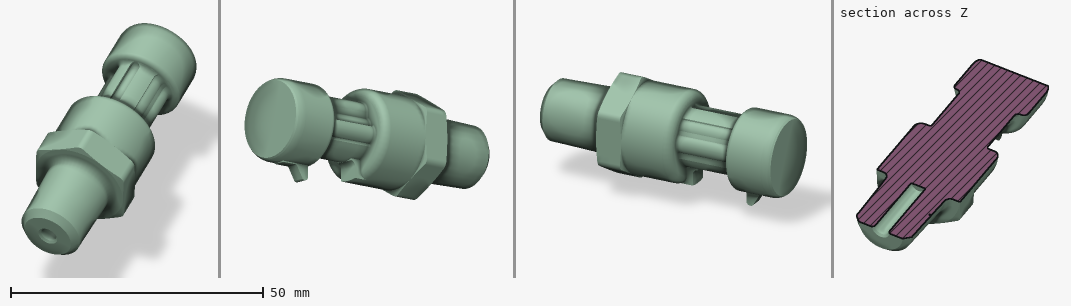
import cadquery as cq
import math

LENGTH = 53.15

TIP_RADIUS = 5.05
TIP_CHAMFER = 1.35
SHANK_TIP_RADIUS = TIP_RADIUS + TIP_CHAMFER
SHANK_ROOT_RADIUS = 6.75
ROOT_FILLET = 1.3
BORE_RADIUS = 1.65
BORE_CHAMFER = 0.4

HEX_START = 14.95
HEX_END = 20.55
HEX_ACROSS_FLATS = 19.1
HEX_CORNER_RADIUS = 1.55
HEX_FACE_RADIUS = 9.45
HEX_CHAMFER_HEIGHT = 0.3
HEX_CHAMFER_RUN = 1.35

BODY_RADIUS = HEX_ACROSS_FLATS / 2
BODY_END = 31.35
BODY_ROUNDING = 1.65

CAP_START = 43.1
CAP_RADIUS = 8.45
CAP_ROUNDING = 1.0
CAP_TAPER_START = 51.2
CAP_TAPER_END = 52.75
CAP_TAPER_RADIUS = 8.1
CAP_TAPER_BULGE = 0.1
CAP_END_RADIUS = 7.8

NECK_CORE_RADIUS = 5.85
NECK_RIB_RADIUS = 6.6
RIDGE_CENTER = (-3.05, 0.65)
RIDGE_RADIUS = 2.25
NECK_CAP_FILLET = 0.8
NECK_BODY_FILLET = 0.35

TOOTH_WIDTH = 2.55
TOOTH_FRONT = 44.3
TOOTH_BACK = 47.35
TOOTH_TIP_BACK = 45.75
TOOTH_BOTTOM = -11.5
TOOTH_TIP_HEIGHT = 0.65
TOOTH_TIP_BACK_HEIGHT = 0.2
TOOTH_PAD_DEPTH = 8.6
TOOTH_PAD_END = 50.9

KEY_WIDTH = 4.25
KEY_END = 32.75
KEY_FILLET = 1.05


def along_y(start, end, outline):
    """Extrude an outline drawn in X and Z from Y = start to Y = end."""
    return outline(cq.Workplane("XZ", origin=(0, start, 0))).extrude(start - end)


def on_circle(center, radius, degrees):
    """Point on a circle in the X-Z cross-section."""
    angle = math.radians(degrees)
    return (center[0] + radius * math.cos(angle), center[1] + radius * math.sin(angle))


def height_on_circle(radius, x):
    """Positive Z of a circle about the axis at the given X."""
    return math.sqrt(radius**2 - x**2)


def revolve(profile):
    """Turn a closed profile of (radius, Y) around the Y axis."""
    return profile.close().revolve(360, (0, 0, 0), (0, 1, 0))


def shank():
    profile = (
        cq.Workplane("XY")
        .lineTo(TIP_RADIUS, 0)
        .lineTo(SHANK_TIP_RADIUS, TIP_CHAMFER)
        .lineTo(SHANK_ROOT_RADIUS, HEX_START - ROOT_FILLET)
        .radiusArc((SHANK_ROOT_RADIUS + ROOT_FILLET, HEX_START), ROOT_FILLET)
        .lineTo(0, HEX_START)
    )
    return revolve(profile)


def bore():
    profile = (
        cq.Workplane("XY")
        .lineTo(BORE_RADIUS + BORE_CHAMFER, 0)
        .lineTo(BORE_RADIUS, BORE_CHAMFER)
        .lineTo(BORE_RADIUS, HEX_START)
        .lineTo(0, HEX_START)
    )
    return revolve(profile)


def nut():
    across_corners = HEX_ACROSS_FLATS / math.cos(math.pi / 6)
    hexagon = along_y(HEX_START, HEX_END, lambda plane: plane.polygon(6, across_corners))
    hexagon = hexagon.rotate((0, 0, 0), (0, 1, 0), 90)
    hexagon = hexagon.edges("|Y").fillet(HEX_CORNER_RADIUS)
    rim_radius = HEX_FACE_RADIUS + HEX_CHAMFER_RUN
    chamfered_disc = (
        cq.Workplane("XY")
        .moveTo(0, HEX_START)
        .lineTo(HEX_FACE_RADIUS, HEX_START)
        .lineTo(rim_radius, HEX_START + HEX_CHAMFER_HEIGHT)
        .lineTo(rim_radius, HEX_END - HEX_CHAMFER_HEIGHT)
        .lineTo(HEX_FACE_RADIUS, HEX_END)
        .lineTo(0, HEX_END)
    )
    return hexagon.intersect(revolve(chamfered_disc))


def body():
    cylinder = along_y(HEX_END, BODY_END, lambda plane: plane.circle(BODY_RADIUS))
    return cylinder.faces(">Y").edges().fillet(BODY_ROUNDING)


def cap():
    taper_middle = (
        (CAP_RADIUS + CAP_TAPER_RADIUS) / 2 + CAP_TAPER_BULGE,
        (CAP_TAPER_START + CAP_TAPER_END) / 2,
    )
    profile = (
        cq.Workplane("XY")
        .moveTo(0, CAP_START)
        .lineTo(CAP_RADIUS - CAP_ROUNDING, CAP_START)
        .radiusArc((CAP_RADIUS, CAP_START + CAP_ROUNDING), -CAP_ROUNDING)
        .lineTo(CAP_RADIUS, CAP_TAPER_START)
        .threePointArc(taper_middle, (CAP_TAPER_RADIUS, CAP_TAPER_END))
        .lineTo(CAP_END_RADIUS, LENGTH)
        .lineTo(0, LENGTH)
    )
    return revolve(profile)


def neck_outline(plane):
    """Cross-section of the neck: a round core with two top ribs, side rolls and rounded ridges."""
    axis = (0, 0)
    rib_left, rib_right = 0.35, 3.6
    crest, crest_radius = (0.3, 3.0), 3.25
    shoulder, shoulder_radius = (2.7, 3.0), 2.4
    right_roll_radius, left_roll_radius = 2.1, 1.95
    right_roll = (NECK_RIB_RADIUS - right_roll_radius, 0.75)
    left_roll = (left_roll_radius - NECK_RIB_RADIUS, -0.75)
    core_left, core_right = -4.9, 5.25
    wall_x, wall_top = -4.15, 3.8
    strip_right, strip_left = -1.7, -3.2

    rib_start = (rib_right, height_on_circle(NECK_RIB_RADIUS, rib_right))
    rib_end = (rib_left, height_on_circle(NECK_RIB_RADIUS, rib_left))
    strip_start = (strip_right, height_on_circle(NECK_RIB_RADIUS, strip_right))
    strip_end = (strip_left, height_on_circle(NECK_RIB_RADIUS, strip_left))
    return (
        plane.moveTo(*on_circle(right_roll, right_roll_radius, -60))
        .threePointArc(on_circle(right_roll, right_roll_radius, 0), on_circle(right_roll, right_roll_radius, 60))
        .lineTo(*on_circle(shoulder, shoulder_radius, 10))
        .threePointArc(on_circle(shoulder, shoulder_radius, 40), on_circle(shoulder, shoulder_radius, 68))
        .lineTo(*rib_start)
        .threePointArc(on_circle(axis, NECK_RIB_RADIUS, 72), rib_end)
        .lineTo(*on_circle(crest, crest_radius, 89))
        .threePointArc(on_circle(crest, crest_radius, 108), on_circle(crest, crest_radius, 127))
        .lineTo(*strip_start)
        .threePointArc(on_circle(axis, NECK_RIB_RADIUS, 112), strip_end)
        .tangentArcPoint((wall_x, wall_top), relative=False)
        .lineTo(*on_circle(RIDGE_CENTER, RIDGE_RADIUS, 120))
        .threePointArc(on_circle(RIDGE_CENTER, RIDGE_RADIUS, 150), on_circle(RIDGE_CENTER, RIDGE_RADIUS, 178))
        .lineTo(*on_circle(left_roll, left_roll_radius, 135))
        .threePointArc(on_circle(left_roll, left_roll_radius, 180), on_circle(left_roll, left_roll_radius, 260))
        .lineTo(core_left, -height_on_circle(NECK_CORE_RADIUS, core_left))
        .threePointArc((0, -NECK_CORE_RADIUS), (core_right, -height_on_circle(NECK_CORE_RADIUS, core_right)))
        .close()
    )


def tooth():
    """Latch tooth standing on a thin pad along the bottom of the cap."""
    inside_cap = -CAP_RADIUS + CAP_ROUNDING
    tip_middle = (TOOTH_FRONT + TOOTH_TIP_BACK) / 2
    return (
        cq.Workplane("YZ", origin=(-TOOTH_WIDTH / 2, 0, 0))
        .moveTo(TOOTH_FRONT, inside_cap)
        .lineTo(TOOTH_FRONT, TOOTH_BOTTOM + TOOTH_TIP_HEIGHT)
        .threePointArc((tip_middle, TOOTH_BOTTOM), (TOOTH_TIP_BACK, TOOTH_BOTTOM + TOOTH_TIP_BACK_HEIGHT))
        .lineTo(TOOTH_BACK, -TOOTH_PAD_DEPTH)
        .lineTo(TOOTH_PAD_END, -TOOTH_PAD_DEPTH)
        .lineTo(TOOTH_PAD_END, inside_cap)
        .close()
        .extrude(TOOTH_WIDTH)
    )


def key():
    """Block under the neck, trimmed to the body's round outline."""
    neck_bottom = -NECK_CORE_RADIUS
    block = (
        cq.Workplane("YZ", origin=(-KEY_WIDTH / 2, 0, 0))
        .moveTo(BODY_END - BODY_ROUNDING, 0)
        .lineTo(BODY_END - BODY_ROUNDING, -BODY_RADIUS)
        .lineTo(KEY_END, -BODY_RADIUS)
        .lineTo(KEY_END, neck_bottom - KEY_FILLET)
        .radiusArc((KEY_END + KEY_FILLET, neck_bottom), KEY_FILLET)
        .lineTo(KEY_END + KEY_FILLET, 0)
        .close()
        .extrude(KEY_WIDTH)
    )
    envelope = along_y(HEX_END, CAP_START, lambda plane: plane.circle(BODY_RADIUS))
    return block.intersect(envelope)


def neck_end_edges(part, y):
    """Edges of the neck's cross-section where it meets the flat face at the given Y."""
    reach = NECK_RIB_RADIUS
    margin = 0.05
    box = cq.selectors.BoxSelector((-reach, y - margin, -reach), (reach, y + margin, reach))
    on_axis = cq.selectors.BoxSelector((-margin, y - margin, -margin), (margin, y + margin, margin))
    return part.edges(box - on_axis)


def ridge_edge(y):
    """Selector for the end edge of the left ridge at the given Y."""
    x, z = on_circle(RIDGE_CENTER, RIDGE_RADIUS, 150)
    return cq.selectors.NearestToPointSelector((x, y, z))


neck = along_y(BODY_END, CAP_START, neck_outline)
rear = body().union(neck).union(cap())
rear = neck_end_edges(rear, CAP_START).edges(-ridge_edge(CAP_START)).fillet(NECK_CAP_FILLET)
rear = neck_end_edges(rear, BODY_END).fillet(NECK_BODY_FILLET)

result = shank().union(nut()).union(rear).union(tooth()).union(key()).cut(bore())